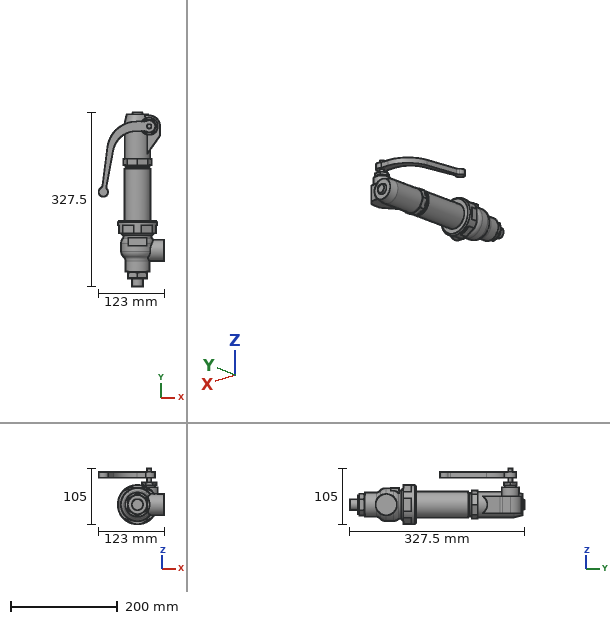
import cadquery as cq
import math


INLET_END_Y = -68.0
INLET_WASHER_Y = -53.0
INLET_HEX_FRONT_Y = -51.0
INLET_HEX_BACK_Y = -40.8
NECK_FRONT_Y = -40.0
NECK_BACK_Y = -19.2
BULGE_FRONT_Y = -1.3
BULGE_BACK_Y = 13.4
THROAT_FRONT_Y = 25.3
THROAT_BACK_Y = 28.0
UNION_FRONT_Y = 32.0
UNION_RIM_Y = 47.0
UNION_BACK_Y = 56.0
TUBE_BACK_Y = 153.5
GROOVE_LIP_Y = 155.5
GROOVE_BACK_Y = 157.0
LOCKNUT_FRONT_Y = 160.0
LOCKNUT_BACK_Y = 171.5
CAP_TAPER_Y = 239.5
CAP_BACK_Y = 255.5
CAP_END_Y = 259.5

INLET_RADIUS = 10.5
INLET_HEX_FLATS = 36.0
INLET_WASHER_RADIUS = 17.9
INLET_HEX_CHAMFER = 1.2
NECK_RADIUS = 22.85
BULGE_RADIUS = 31.0
THROAT_RADIUS = 26.7
FLARE_RADIUS = 31.4
UNION_RADIUS = 37.0
UNION_CHAMFER = 3.0
UNION_FLATS = 70.0
TUBE_RADIUS = 24.75
GROOVE_RADIUS = 19.5
GROOVE_LIP_RADIUS = 22.0
LOCKNUT_COLLAR_RADIUS = 22.7
LOCKNUT_FLATS = 49.6
CAP_RADIUS = 24.3
CAP_BACK_RADIUS = 20.2
CAP_BUTTON_RADIUS = 10.5
CAP_END_RADIUS = 8.3
NECK_BLEND_SHARE = 0.57
THROAT_BLEND_SHARE = 0.75

OUTLET_RADIUS = 20.0
OUTLET_LENGTH = 50.0

PAD_WIDTH = 34.0
PAD_FRONT_Y = 8.7
PAD_BACK_Y = 24.0
PAD_TOP_Z = 31.5
PAD_BOTTOM_Z = 20.0

SHAFT_X = 22.0
SHAFT_Y = 232.7
SHAFT_RADIUS = 4.3
SHAFT_TOP_Z = 68.0
BRACKET_HALF_HEIGHT = 16.0
BRACKET_RADIUS = 20.5
BRACKET_TIP_X = 17.9
BRACKET_TIP_Y = 180.5
BRACKET_SLOPE = 54.6
BRACKET_CORNER_RADIUS = 8.0
BOSS_RADIUS = 16.2
BOSS_BOTTOM_Z = 10.0
BOSS_TOP_Z = 32.7
GLAND_RADIUS = 11.0
GLAND_HEX_BOTTOM_Z = 36.4
GLAND_HEX_TOP_Z = 41.6
GLAND_HEX_FLATS = 24.0

LEVER_BOTTOM_Z = 50.2
LEVER_TOP_Z = 61.2
LEVER_HUB_RADIUS = 11.2
LEVER_WIDTH = 18.0
LEVER_BEND_X = -1.7
LEVER_OUTER_RADIUS = 55.3
LEVER_INNER_RADIUS = 44.5
LEVER_OUTER_LEAN = 7.3
LEVER_INNER_LEAN = 10.5
KNOB_X = -64.04
KNOB_Y = 109.5
KNOB_RADIUS = 9.0
KNOB_FILLET = 6.5


def across_corners(flats, sides):
    """Corner-to-corner diameter of a regular polygon with an even number of sides."""
    return flats / math.cos(math.pi / sides)


def point_between(start, end, share):
    """Point at the given share of the way from start to end."""
    return tuple(a + share * (b - a) for a, b in zip(start, end))


def prism_along_y(flats, sides, front_y, back_y, turn):
    """Regular prism on the valve axis; turn is the angle of its first corner."""
    prism = (
        cq.Workplane("XZ", origin=(0, front_y, 0))
        .transformed(rotate=(0, 0, turn))
        .polygon(sides, across_corners(flats, sides))
        .extrude(front_y - back_y)
    )
    return prism


def cylinder_z(x, y, radius, bottom_z, top_z):
    """Upright cylinder."""
    return cq.Workplane("XY", origin=(x, y, bottom_z)).circle(radius).extrude(top_z - bottom_z)


def make_body():
    """Inlet, neck, bulge and throat, turned about the valve axis."""
    neck = (NECK_RADIUS, NECK_BACK_Y)
    bulge_front = (BULGE_RADIUS, BULGE_FRONT_Y)
    bulge_back = (BULGE_RADIUS, BULGE_BACK_Y)
    throat = (THROAT_RADIUS, THROAT_FRONT_Y)
    neck_inflection = point_between(bulge_front, neck, NECK_BLEND_SHARE)
    throat_inflection = point_between(bulge_back, throat, THROAT_BLEND_SHARE)
    profile = (
        cq.Workplane("XY")
        .moveTo(0, INLET_END_Y)
        .lineTo(INLET_RADIUS, INLET_END_Y)
        .lineTo(INLET_RADIUS, INLET_WASHER_Y)
        .lineTo(INLET_WASHER_RADIUS, INLET_WASHER_Y)
        .lineTo(INLET_WASHER_RADIUS, NECK_FRONT_Y)
        .lineTo(NECK_RADIUS, NECK_FRONT_Y)
        .lineTo(*neck)
        .tangentArcPoint(neck_inflection, relative=False)
        .tangentArcPoint(bulge_front, relative=False)
        .lineTo(*bulge_back)
        .tangentArcPoint(throat_inflection, relative=False)
        .tangentArcPoint(throat, relative=False)
        .lineTo(THROAT_RADIUS, THROAT_BACK_Y)
        .lineTo(FLARE_RADIUS, UNION_FRONT_Y)
        .lineTo(0, UNION_FRONT_Y)
        .close()
    )
    return profile.revolve(360, (0, 0, 0), (0, 1, 0))


def make_inlet_hex():
    """Inlet hexagon with its corners chamfered at the end facing the neck."""
    hexagon = prism_along_y(INLET_HEX_FLATS, 6, INLET_HEX_FRONT_Y, INLET_HEX_BACK_Y, 90)
    corner_radius = across_corners(INLET_HEX_FLATS, 6) / 2
    chamfer_radial = corner_radius - INLET_HEX_FLATS / 2
    envelope = (
        cq.Workplane("XZ", origin=(0, INLET_HEX_FRONT_Y, 0))
        .circle(corner_radius)
        .extrude(INLET_HEX_FRONT_Y - INLET_HEX_BACK_Y)
        .faces(">Y")
        .chamfer(INLET_HEX_CHAMFER, chamfer_radial)
    )
    return hexagon.intersect(envelope)


def make_union_nut():
    """Round union nut with a plain rim behind six wrench flats."""
    nut = (
        cq.Workplane("XZ", origin=(0, UNION_FRONT_Y, 0))
        .circle(UNION_RADIUS)
        .extrude(UNION_FRONT_Y - UNION_BACK_Y)
        .faces(">Y")
        .chamfer(UNION_CHAMFER)
    )
    rim = nut.intersect(
        cq.Workplane("XZ", origin=(0, UNION_RIM_Y, 0))
        .circle(UNION_RADIUS)
        .extrude(UNION_RIM_Y - UNION_BACK_Y)
    )
    flats = nut.intersect(prism_along_y(UNION_FLATS, 6, UNION_FRONT_Y, UNION_RIM_Y, 90))
    return rim.union(flats)


def make_bonnet():
    """Spring tube, groove and cap, turned about the valve axis."""
    outline = [
        (0, UNION_BACK_Y),
        (TUBE_RADIUS, UNION_BACK_Y),
        (TUBE_RADIUS, TUBE_BACK_Y),
        (GROOVE_LIP_RADIUS, TUBE_BACK_Y),
        (GROOVE_LIP_RADIUS, GROOVE_LIP_Y),
        (GROOVE_RADIUS, GROOVE_BACK_Y),
        (LOCKNUT_COLLAR_RADIUS, GROOVE_BACK_Y),
        (LOCKNUT_COLLAR_RADIUS, LOCKNUT_BACK_Y),
        (CAP_RADIUS, LOCKNUT_BACK_Y),
        (CAP_RADIUS, CAP_TAPER_Y),
        (CAP_BACK_RADIUS, CAP_BACK_Y),
        (CAP_BUTTON_RADIUS, CAP_BACK_Y),
        (CAP_END_RADIUS, CAP_END_Y),
        (0, CAP_END_Y),
    ]
    return cq.Workplane("XY").polyline(outline).close().revolve(360, (0, 0, 0), (0, 1, 0))


def make_locknut():
    """Octagonal locknut between the tube and the cap."""
    return prism_along_y(LOCKNUT_FLATS, 8, LOCKNUT_FRONT_Y, LOCKNUT_BACK_Y, 0)


def make_outlet():
    """Side outlet stub."""
    return cq.Workplane("YZ").circle(OUTLET_RADIUS).extrude(OUTLET_LENGTH)


def make_pad():
    """Flat name plate pad on top of the body."""
    pad = (
        cq.Workplane("XY", origin=(0, 0, PAD_BOTTOM_Z))
        .center(0, (PAD_FRONT_Y + PAD_BACK_Y) / 2)
        .rect(PAD_WIDTH, PAD_BACK_Y - PAD_FRONT_Y)
        .extrude(PAD_TOP_Z - PAD_BOTTOM_Z)
    )
    return pad


def make_bracket():
    """Thick web beside the cap, rounded about the shaft and sloping back to the cap."""
    outer_x = SHAFT_X + BRACKET_RADIUS
    back_y = SHAFT_Y + BRACKET_RADIUS
    corner_y = BRACKET_TIP_Y + (outer_x - BRACKET_TIP_X) * math.tan(math.radians(BRACKET_SLOPE))
    diagonal = BRACKET_RADIUS * math.sqrt(0.5)
    web = (
        cq.Workplane("XY", origin=(0, 0, -BRACKET_HALF_HEIGHT))
        .moveTo(0, back_y)
        .lineTo(SHAFT_X, back_y)
        .threePointArc((SHAFT_X + diagonal, SHAFT_Y + diagonal), (outer_x, SHAFT_Y))
        .lineTo(outer_x, corner_y)
        .lineTo(BRACKET_TIP_X, BRACKET_TIP_Y)
        .lineTo(0, BRACKET_TIP_Y)
        .close()
        .extrude(2 * BRACKET_HALF_HEIGHT)
    )
    corner = cq.selectors.NearestToPointSelector((outer_x, corner_y, 0))
    return web.edges(corner).fillet(BRACKET_CORNER_RADIUS)


def make_gland():
    """Bracket boss, gland collar, gland hexagon and lever shaft, stacked upwards."""
    boss = cylinder_z(SHAFT_X, SHAFT_Y, BOSS_RADIUS, BOSS_BOTTOM_Z, BOSS_TOP_Z)
    collar = cylinder_z(SHAFT_X, SHAFT_Y, GLAND_RADIUS, BOSS_BOTTOM_Z, GLAND_HEX_BOTTOM_Z)
    hexagon = (
        cq.Workplane("XY", origin=(SHAFT_X, SHAFT_Y, GLAND_HEX_BOTTOM_Z))
        .polygon(6, across_corners(GLAND_HEX_FLATS, 6))
        .extrude(GLAND_HEX_TOP_Z - GLAND_HEX_BOTTOM_Z)
    )
    shaft = cylinder_z(SHAFT_X, SHAFT_Y, SHAFT_RADIUS, BOSS_BOTTOM_Z, SHAFT_TOP_Z)
    return boss.union(collar).union(hexagon).union(shaft)


def bend_point(top_y, radius, angle):
    """Point on a lever bend; angle is measured in degrees up from the -X direction."""
    turn = math.radians(angle)
    return (
        LEVER_BEND_X - radius * math.cos(turn),
        top_y - radius + radius * math.sin(turn),
    )


def edge_end(start, lean):
    """Point where a straight lever edge reaches the knob centre's Y."""
    return (start[0] - (start[1] - KNOB_Y) * math.tan(math.radians(lean)), KNOB_Y)


def make_lever():
    """Flat curved lever with a round hub on the shaft and a round knob at its free end."""
    thickness = LEVER_TOP_Z - LEVER_BOTTOM_Z
    outer_top_y = SHAFT_Y + LEVER_WIDTH / 2
    inner_top_y = SHAFT_Y - LEVER_WIDTH / 2
    outer_bend_end = bend_point(outer_top_y, LEVER_OUTER_RADIUS, LEVER_OUTER_LEAN)
    inner_bend_end = bend_point(inner_top_y, LEVER_INNER_RADIUS, LEVER_INNER_LEAN)
    outer_end = edge_end(outer_bend_end, LEVER_OUTER_LEAN)
    inner_end = edge_end(inner_bend_end, LEVER_INNER_LEAN)
    arm = (
        cq.Workplane("XY", origin=(0, 0, LEVER_BOTTOM_Z))
        .moveTo(SHAFT_X, outer_top_y)
        .lineTo(LEVER_BEND_X, outer_top_y)
        .tangentArcPoint(outer_bend_end, relative=False)
        .lineTo(*outer_end)
        .lineTo(*inner_end)
        .lineTo(*inner_bend_end)
        .tangentArcPoint((LEVER_BEND_X, inner_top_y), relative=False)
        .lineTo(SHAFT_X, inner_top_y)
        .close()
        .extrude(thickness)
    )
    hub = cylinder_z(SHAFT_X, SHAFT_Y, LEVER_HUB_RADIUS, LEVER_BOTTOM_Z, LEVER_TOP_Z)
    knob = cylinder_z(KNOB_X, KNOB_Y, KNOB_RADIUS, LEVER_BOTTOM_Z, LEVER_TOP_Z)
    lever = arm.union(hub).union(knob)
    knob_corners = cq.selectors.BoxSelector(
        (KNOB_X - KNOB_RADIUS, KNOB_Y + KNOB_RADIUS / 2, LEVER_BOTTOM_Z),
        (KNOB_X + KNOB_RADIUS, KNOB_Y + KNOB_RADIUS, LEVER_TOP_Z),
    )
    return lever.edges("|Z").edges(knob_corners).fillet(KNOB_FILLET)


result = (
    make_body()
    .union(make_inlet_hex())
    .union(make_union_nut())
    .union(make_bonnet())
    .union(make_locknut())
    .union(make_outlet())
    .union(make_pad())
    .union(make_bracket())
    .union(make_gland())
    .union(make_lever())
)